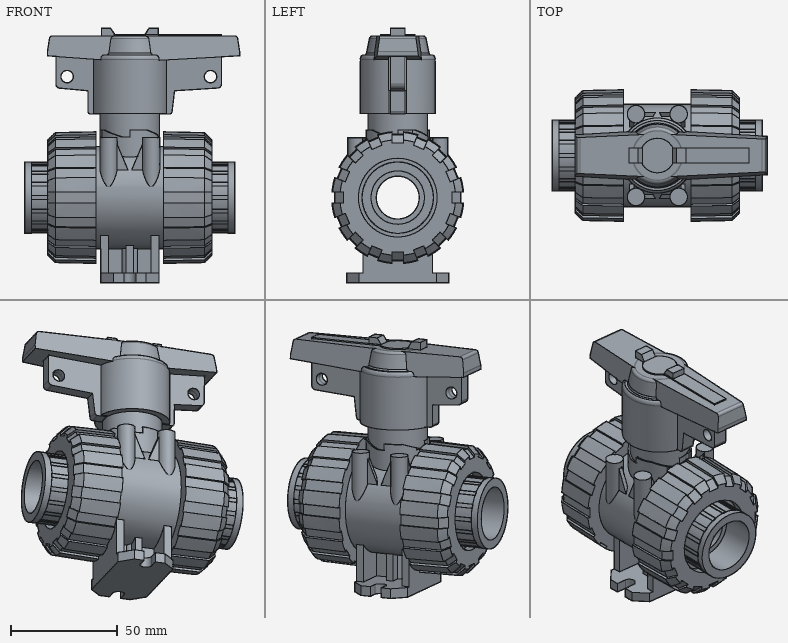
import cadquery as cq
import math


bore_radius = 10.0
connector_end = 49.25
connector_radius = 16.75
socket_radius = 12.5
socket_depth = 16.0
rim_length = 3.2
flange_radius = 22.0
flange_thickness = 4.0
connector_groove_width = 1.95
connector_grip_radius = 16.65
connector_groove_depth = 0.3
groove_count = 16

nut_inner_end = 15.75
nut_outer_end = 38.5
nut_chamfer_start = 34.95
nut_hole_radius = 18.45
nut_radius = 30.99
nut_radius_at_chamfer = 30.6
nut_radius_at_face = 27.1
nut_groove_radius = 29.7
nut_groove_radius_at_chamfer = 29.3
nut_groove_radius_at_face = 25.5
nut_groove_width = 5.2

body_radius = 24.05
body_end = 30.0
pillar_radius = 4.1
pillar_x = 10.0
pillar_y = 19.4
pillar_top = 28.1
gusset_thickness = 2.0
gusset_height = 12.3
gusset_run = 5.2
gusset_tip_x = 0.9
gusset_center_y = 19.2
side_gusset_tip_y = 13.3
side_gusset_center_x = 12.0

foot_bottom = -40.0
foot_thickness = 4.7
foot_half_length = 13.7
foot_half_width = 24.0
foot_chamfer_x = 6.05
foot_chamfer_y = 5.75
slot_width = 5.6
slot_center_y = 19.0
wall_thickness = 3.7
wall_half_width = 16.35
rib_thickness = 3.4
rib_half_width = 8.9
panel_thickness = 4.0
boss_radius = 4.2

shaft_radius = 14.0
neck_radius = 14.8
stop_half_width = 13.1
spigot_radius = 10.0
stop_low = 28.5
stop_high = 31.6
stop_flat_angle = 35.0
stop_ramp_angle = 39.0
stop_count = 4

hub_radius = 17.6
hub_bottom = 39.3
hub_top = 64.7
shoulder_radius = 16.4
shoulder_top = 66.9
shoulder_arc_radius = 2.4
cone_foot_radius = 15.2
cone_base_radius = 14.7
cone_base_height = 67.7
cone_edge_radius = 13.3
cone_edge_height = 74.6
cone_top_radius = 11.6
lever_top = 75.8
lever_tip_bottom = 66.4
lever_lip_top = 68.4
lever_root_bottom = 63.6
lever_left = -38.65
lever_right = 51.5
lever_left_half_width = 9.4
lever_right_half_width = 8.7
lever_middle_half_width = 11.6
lever_middle_half_length = 8.0
lever_draft = 8.5
lever_end_fillet = 1.5
channel_width = 8.2
core_top = 50.2

insert_width = 6.9
insert_left = -34.7
insert_right = 43.0
insert_hidden_top = 70.0
insert_top = 76.4
fin_tip_bottom = 51.4
fin_root_bottom = 50.0
fin_corner_radius = 2.0
tab_corner_radius = 1.3
strip_width = 7.2
tab_bottom = 39.1
tab_reach = 19.7
tab_right_root = 21.0
fin_hole_radius = 2.85
fin_hole_z = 56.7
fin_hole_left = -29.4
fin_hole_right = 37.8
cap_radius = 8.1
prong_top = 79.43
prong_outer = 13.4
prong_tip = 9.0
prong_toe = 6.65


def x_cylinder(radius, start, end):
    return cq.Workplane("YZ").workplane(offset=start).circle(radius).extrude(end - start)


def z_cylinder(radius, bottom, top):
    return cq.Workplane("XY").workplane(offset=bottom).circle(radius).extrude(top - bottom)


def block(half_x, half_y, bottom, top):
    return (
        cq.Workplane("XY").workplane(offset=bottom).rect(2 * half_x, 2 * half_y).extrude(top - bottom)
    )


def plate_xz(points, thickness, center_y=0.0):
    """Plate with an XZ outline, centred on the plane Y = center_y."""
    plate = cq.Workplane("XZ").polyline(points).close().extrude(thickness / 2, both=True)
    return plate.translate((0, center_y, 0))


def plate_yz(points, thickness, center_x=0.0):
    """Plate with a YZ outline, centred on the plane X = center_x."""
    plate = cq.Workplane("YZ").polyline(points).close().extrude(thickness / 2, both=True)
    return plate.translate((center_x, 0, 0))


def make_connector():
    """Right-hand pipe end: flanged tube with a stepped socket and lengthwise grooves."""
    grip_end = connector_end - rim_length
    connector = x_cylinder(connector_grip_radius, body_end, grip_end)
    connector = connector.union(x_cylinder(connector_radius, grip_end, connector_end))
    connector = connector.union(x_cylinder(flange_radius, body_end, body_end + flange_thickness))
    connector = connector.cut(x_cylinder(bore_radius, body_end, connector_end))
    connector = connector.cut(x_cylinder(socket_radius, connector_end - socket_depth, connector_end))
    groove_start = body_end + flange_thickness
    groove_length = grip_end - groove_start
    groove_floor = connector_grip_radius - connector_groove_depth
    groove = cq.Workplane("XY").box(
        groove_length, connector_groove_width, 1.0, centered=(False, True, False)
    ).translate((groove_start, 0, groove_floor))
    for i in range(groove_count):
        connector = connector.cut(groove.rotate((0, 0, 0), (1, 0, 0), 360 * i / groove_count))
    return connector


def make_nut():
    """Right-hand union nut: capped ring with sixteen flat-bottomed grip grooves."""
    cap_inside = body_end + flange_thickness
    nut = (
        cq.Workplane("XZ")
        .moveTo(nut_inner_end, body_radius)
        .lineTo(nut_inner_end, nut_radius)
        .lineTo(nut_chamfer_start, nut_radius_at_chamfer)
        .lineTo(nut_outer_end, nut_radius_at_face)
        .lineTo(nut_outer_end, nut_hole_radius)
        .lineTo(cap_inside, nut_hole_radius)
        .lineTo(cap_inside, body_radius)
        .close()
        .revolve(360, (0, 0, 0), (1, 0, 0))
    )
    groove_outline = [
        (nut_inner_end, nut_groove_radius),
        (nut_chamfer_start, nut_groove_radius_at_chamfer),
        (nut_outer_end, nut_groove_radius_at_face),
        (nut_outer_end, nut_radius + 1),
        (nut_inner_end, nut_radius + 1),
    ]
    groove = plate_xz(groove_outline, nut_groove_width)
    for i in range(groove_count):
        nut = nut.cut(groove.rotate((0, 0, 0), (1, 0, 0), 360 * i / groove_count))
    return nut


def make_foot():
    """Slotted foot plate carried by two end walls, a lengthwise panel, a rib and a round boss."""
    plate_top = foot_bottom + foot_thickness
    corner_x = foot_half_length - foot_chamfer_x
    corner_y = foot_half_width - foot_chamfer_y
    outline = [
        (foot_half_length, -corner_y),
        (foot_half_length, corner_y),
        (corner_x, foot_half_width),
        (-corner_x, foot_half_width),
        (-foot_half_length, corner_y),
        (-foot_half_length, -corner_y),
        (-corner_x, -foot_half_width),
        (corner_x, -foot_half_width),
    ]
    foot = (
        cq.Workplane("XY").workplane(offset=foot_bottom).polyline(outline).close().extrude(foot_thickness)
    )
    slot_end = foot_half_width + slot_width
    for side in (-1, 1):
        slot = (
            cq.Workplane("XY")
            .workplane(offset=foot_bottom)
            .center(0, side * (slot_center_y + slot_end) / 2)
            .slot2D(slot_end - slot_center_y + slot_width, slot_width, 90)
            .extrude(foot_thickness)
        )
        foot = foot.cut(slot)
        wall_x = side * (foot_half_length - wall_thickness / 2)
        wall = block(wall_thickness / 2, wall_half_width, plate_top, 0).translate((wall_x, 0, 0))
        foot = foot.union(wall)
    foot = foot.union(block(foot_half_length, panel_thickness / 2, plate_top, 0))
    foot = foot.union(block(rib_thickness / 2, rib_half_width, plate_top, 0))
    return foot.union(z_cylinder(boss_radius, plate_top, 0))


def make_pillar():
    """Pillar at +X, +Y with one gusset towards X = 0 and one towards the neck."""
    pillar = z_cylinder(pillar_radius, 0, pillar_top).translate((pillar_x, pillar_y, 0))
    tip_z = math.sqrt(body_radius**2 - (gusset_center_y + gusset_thickness / 2) ** 2)
    gusset = [
        (gusset_tip_x, tip_z),
        (gusset_tip_x + gusset_run, tip_z + gusset_height),
        (pillar_x, tip_z + gusset_height),
        (pillar_x, 0),
        (gusset_tip_x, 0),
    ]
    side_tip_z = math.sqrt(body_radius**2 - side_gusset_tip_y**2)
    side_rise = (pillar_y - pillar_radius / 2 - side_gusset_tip_y) * gusset_height / gusset_run
    side_top = min(side_tip_z + side_rise, pillar_top)
    side_run = (side_top - side_tip_z) * gusset_run / gusset_height
    side_gusset = [
        (side_gusset_tip_y, side_tip_z),
        (side_gusset_tip_y + side_run, side_top),
        (pillar_y, side_top),
        (pillar_y, 0),
        (side_gusset_tip_y, 0),
    ]
    pillar = pillar.union(plate_xz(gusset, gusset_thickness, gusset_center_y))
    return pillar.union(plate_yz(side_gusset, gusset_thickness, side_gusset_center_x))


def trimmed_neck(half_width, bottom, top):
    """Round neck with flats on its +X and -X sides."""
    return z_cylinder(neck_radius, bottom, top).intersect(block(half_width, neck_radius, bottom, top))


def make_stop_ring():
    """Ring of equal stops on the neck: each has a step, a flat and a ramp down."""
    ramp_middle = math.radians(stop_flat_angle + stop_ramp_angle / 2)
    ramp_half = neck_radius * math.sin(math.radians(stop_ramp_angle / 2))
    reach = 2 * neck_radius
    ramp_profile = [
        (-reach, stop_low),
        (-reach, stop_high),
        (-ramp_half, stop_high),
        (ramp_half, stop_low),
    ]
    under_ramp = plate_xz(ramp_profile, 2 * reach, -reach)
    under_ramp = under_ramp.rotate((0, 0, 0), (0, 0, 1), math.degrees(ramp_middle))
    quadrant = block(reach / 2, reach / 2, stop_low, stop_high).translate((reach / 2, -reach / 2, 0))
    stop = under_ramp.intersect(quadrant)
    blank = z_cylinder(shaft_radius, stop_low, stop_high)
    blank = blank.union(trimmed_neck(stop_half_width, stop_low, stop_high))
    blank = blank.cut(z_cylinder(spigot_radius, stop_low, stop_high))
    ring = cq.Workplane("XY")
    for i in range(stop_count):
        ring = ring.add(blank.intersect(stop.rotate((0, 0, 0), (0, 0, 1), 360 * i / stop_count)))
    return ring


def make_body(stop_ring):
    body = x_cylinder(body_radius, -body_end, body_end)
    body = body.union(make_foot())
    pillar = make_pillar()
    pillar_pair = pillar.union(pillar.mirror("YZ"))
    body = body.union(pillar_pair).union(pillar_pair.mirror("XZ"))
    body = body.union(trimmed_neck(shaft_radius, 0, stop_low))
    for stop in stop_ring.vals():
        body = body.union(cq.Workplane(stop))
    return body.cut(x_cylinder(bore_radius, -body_end, body_end))


def round_corner(plate, x, z, radius):
    """Fillets the edge along Y that passes through (x, z)."""
    return plate.edges(cq.selectors.NearestToPointSelector((x, 0, z))).fillet(radius)


def make_insert():
    """Fin under the lever with two tabs, a cap, a strip and two prongs on top."""
    fin_outline = [
        (insert_left, insert_hidden_top),
        (insert_left, fin_tip_bottom),
        (-tab_reach, fin_root_bottom),
        (-tab_reach, tab_bottom),
        (-shaft_radius, tab_bottom),
        (-shaft_radius, core_top),
        (shaft_radius, core_top),
        (shaft_radius, tab_bottom),
        (tab_reach, tab_bottom),
        (tab_right_root, fin_root_bottom),
        (insert_right, fin_tip_bottom),
        (insert_right, insert_hidden_top),
    ]
    insert = plate_xz(fin_outline, insert_width)
    insert = round_corner(insert, insert_left, fin_tip_bottom, fin_corner_radius)
    insert = round_corner(insert, insert_right, fin_tip_bottom, fin_corner_radius)
    insert = round_corner(insert, -tab_reach, tab_bottom, tab_corner_radius)
    insert = round_corner(insert, tab_reach, tab_bottom, tab_corner_radius)
    holes = (
        cq.Workplane("XZ")
        .pushPoints([(fin_hole_left, fin_hole_z), (fin_hole_right, fin_hole_z)])
        .circle(fin_hole_radius)
        .extrude(insert_width, both=True)
    )
    insert = insert.cut(holes)
    strip_start = math.sqrt(cap_radius**2 - (strip_width / 2) ** 2)
    cap = (
        cq.Workplane("XY")
        .workplane(offset=insert_hidden_top)
        .moveTo(insert_right, -strip_width / 2)
        .lineTo(insert_right, strip_width / 2)
        .lineTo(strip_start, strip_width / 2)
        .threePointArc((-cap_radius, 0), (strip_start, -strip_width / 2))
        .close()
        .extrude(insert_top - insert_hidden_top)
    )
    insert = insert.union(cap)
    prong_outline = [
        (prong_toe, insert_hidden_top),
        (prong_toe, lever_top),
        (prong_tip, prong_top),
        (prong_outer, prong_top),
        (prong_outer, insert_hidden_top),
    ]
    prong = plate_xz(prong_outline, insert_width)
    return insert.union(prong).union(prong.mirror("YZ"))


def make_lever():
    """Drafted bar whose underside rises from the hub to both tips."""
    draft_allowance = (lever_lip_top - lever_root_bottom) * math.tan(math.radians(lever_draft))
    left = lever_left - draft_allowance
    right = lever_right + draft_allowance
    left_half = lever_left_half_width + draft_allowance
    right_half = lever_right_half_width + draft_allowance
    plan = [
        (left, -left_half),
        (-lever_middle_half_length, -lever_middle_half_width),
        (lever_middle_half_length, -lever_middle_half_width),
        (right, -right_half),
        (right, right_half),
        (lever_middle_half_length, lever_middle_half_width),
        (-lever_middle_half_length, lever_middle_half_width),
        (left, left_half),
    ]
    lever = (
        cq.Workplane("XY")
        .workplane(offset=lever_root_bottom)
        .polyline(plan)
        .close()
        .extrude(lever_top - lever_root_bottom, taper=lever_draft)
    )
    lever = lever.faces(">Z").edges("<X or >X").fillet(lever_end_fillet)
    length = lever_right - lever_left
    between_ends = block(length / 2, lever_middle_half_width, lever_root_bottom, lever_top)
    lever = lever.intersect(between_ends.translate((lever_left + length / 2, 0, 0)))
    underside = [
        (0, lever_root_bottom),
        (lever_left, lever_tip_bottom),
        (2 * lever_left, lever_tip_bottom),
        (2 * lever_left, 0),
        (2 * lever_right, 0),
        (2 * lever_right, lever_tip_bottom),
        (lever_right, lever_tip_bottom),
    ]
    return lever.cut(plate_xz(underside, 4 * lever_middle_half_width))


def make_hub():
    """Turned hub with a rounded shoulder and a domed cone, on a shaft that rests on the neck."""
    return (
        cq.Workplane("XZ")
        .moveTo(0, stop_low)
        .lineTo(shaft_radius, stop_low)
        .lineTo(shaft_radius, hub_bottom)
        .lineTo(hub_radius, hub_bottom)
        .lineTo(hub_radius, hub_top)
        .radiusArc((shoulder_radius, shoulder_top), -shoulder_arc_radius)
        .lineTo(cone_foot_radius, shoulder_top)
        .lineTo(cone_base_radius, cone_base_height)
        .lineTo(cone_edge_radius, cone_edge_height)
        .radiusArc((cone_top_radius, lever_top), -(cone_edge_radius - cone_top_radius))
        .lineTo(0, lever_top)
        .close()
        .revolve(360, (0, 0, 0), (0, 1, 0))
    )


def make_handle(stop_ring, insert):
    handle = make_hub().union(make_lever())
    for stop in stop_ring.vals():
        handle = handle.cut(cq.Workplane(stop))
    channel = [
        (insert_left, insert_hidden_top),
        (insert_left, hub_bottom),
        (-shaft_radius, hub_bottom),
        (-shaft_radius, core_top),
        (shaft_radius, core_top),
        (shaft_radius, hub_bottom),
        (insert_right, hub_bottom),
        (insert_right, insert_hidden_top),
    ]
    handle = handle.cut(plate_xz(channel, channel_width))
    return handle.cut(insert)


connectors = [make_connector(), make_connector().mirror("YZ")]
nuts = [make_nut(), make_nut().mirror("YZ")]
stops = make_stop_ring()
body = make_body(stops)
handle_insert = make_insert()
handle = make_handle(stops, handle_insert)

result = cq.Compound.makeCompound(
    [
        body.val(),
        *[nut.val() for nut in nuts],
        *[connector.val() for connector in connectors],
        handle.val(),
        handle_insert.val(),
    ]
)